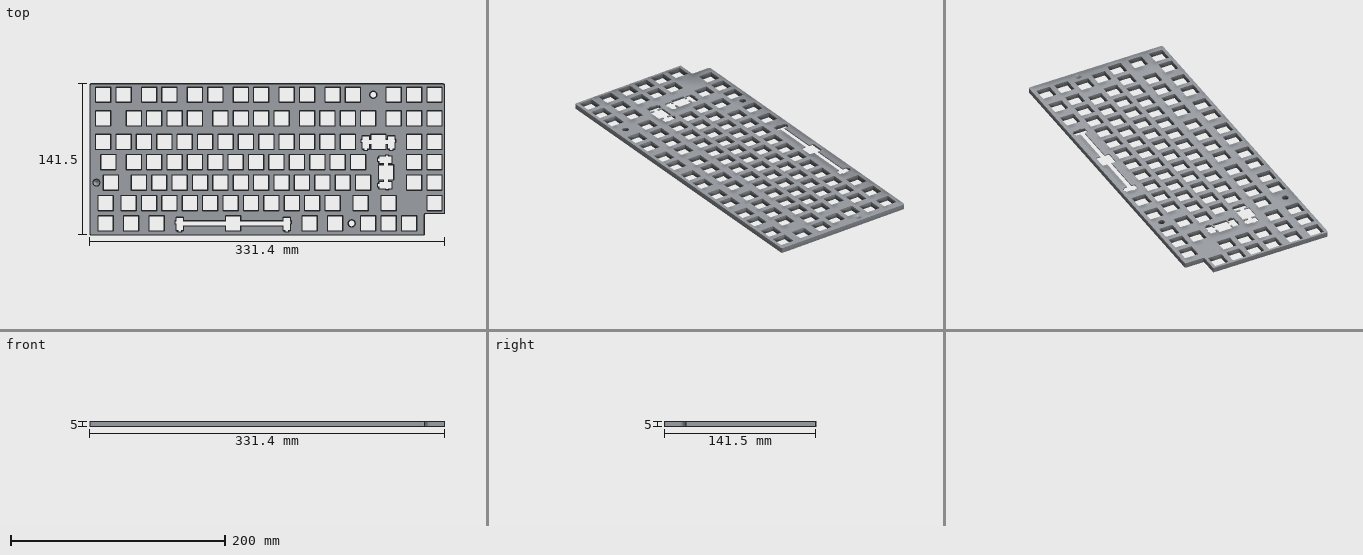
import cadquery as cq
plate_length = 331.42
plate_width = 141.5
plate_thickness = 5.0
corner_radius = 1.5

notch_length = 18.7
notch_width = 20.05
notch_inner_radius = 1.0

key_unit = 19.05
switch_opening = 14.0
first_key_from_left = 12.505
first_key_from_back = 10.31
function_row_pitch = 22.0

first_key_x = -plate_length / 2 + first_key_from_left
function_row_y = plate_width / 2 - first_key_from_back
number_row_y = function_row_y - 2 * function_row_pitch

short_stabilizer_reach = 11.9
space_stabilizer_reach = 50.0
stabilizer_bar_width = 4.5
stabilizer_half_width = 3.375
stabilizer_top = 5.53
stabilizer_bottom = -6.77
foot_half_width = 1.65
foot_bottom = -7.97
side_tab_reach = 4.2
side_tab_top = 2.3
side_tab_bottom = -0.5

mount_diameter = 6.4
dimple_from_left = 6.2
dimple_depth = 1.9


def column_x(units):
    """X of a key centre lying this many key units right of the first key."""
    return first_key_x + units * key_unit


def letter_row_y(rows):
    """Y of a key row lying this many key units in front of the number row."""
    return number_row_y - rows * key_unit


def key_run(start, count):
    """Columns of neighbouring keys, one key unit apart."""
    return [start + i for i in range(count)]


navigation_columns = key_run(15.25, 2)

key_rows = [
    (
        function_row_y,
        key_run(0, 2) + key_run(2.25, 2) + key_run(4.5, 2) + key_run(6.75, 2)
        + key_run(9, 2) + key_run(11.25, 2) + key_run(14.25, 3),
    ),
    (
        function_row_y - function_row_pitch,
        key_run(0, 1) + key_run(1.5, 4) + key_run(5.75, 4) + key_run(10, 4) + key_run(14.25, 3),
    ),
    (letter_row_y(0), key_run(0, 13) + navigation_columns),
    (letter_row_y(1), [0.25] + key_run(1.5, 12) + navigation_columns),
    (letter_row_y(2), [0.375] + key_run(1.75, 12) + navigation_columns),
    (letter_row_y(3), [0.125] + key_run(1.25, 11) + [12.625, 14, 16.25]),
    (letter_row_y(4), [0.125, 1.375, 2.625, 10.125, 11.375] + key_run(13, 3)),
]

stabilizer_skin = 1.05
relief_end_margin = 0.95
relief_top = 10.4
relief_bottom = -10.0


def cutter(sketch):
    """Prism from a closed outline, through the whole plate."""
    return sketch.extrude(plate_thickness)


def make_plate():
    """Plate with a notched front right corner; only the tip right of the notch stays sharp."""
    right = plate_length / 2
    back = plate_width / 2
    notch_x = right - notch_length
    notch_y = -back + notch_width
    plate = cutter(
        cq.Workplane("XY")
        .moveTo(-right, -back)
        .lineTo(notch_x, -back)
        .lineTo(notch_x, notch_y)
        .lineTo(right, notch_y)
        .lineTo(right, back)
        .lineTo(-right, back)
        .close()
    )
    rounded_corners = [
        (corner_radius, [(-right, -back), (-right, back), (right, back), (notch_x, -back)]),
        (notch_inner_radius, [(notch_x, notch_y)]),
    ]
    for radius, corners in rounded_corners:
        for x, y in corners:
            corner = cq.selectors.NearestToPointSelector((x, y, plate_thickness / 2))
            plate = plate.edges("|Z").edges(corner).fillet(radius)
    return plate


def switch_openings():
    """Square openings of all the keys without a stabilizer."""
    centres = [(column_x(column), y) for y, columns in key_rows for column in columns]
    return cutter(cq.Workplane("XY").pushPoints(centres).rect(switch_opening, switch_opening))


def stabilizer_housing(reach, side):
    """Opening of one stabilizer housing, on the given side (+1 or -1) of its switch."""
    outline = [
        (-stabilizer_half_width, stabilizer_top),
        (stabilizer_half_width, stabilizer_top),
        (stabilizer_half_width, side_tab_top),
        (side_tab_reach, side_tab_top),
        (side_tab_reach, side_tab_bottom),
        (stabilizer_half_width, side_tab_bottom),
        (stabilizer_half_width, stabilizer_bottom),
        (foot_half_width, stabilizer_bottom),
        (foot_half_width, foot_bottom),
        (-foot_half_width, foot_bottom),
        (-foot_half_width, stabilizer_bottom),
        (-stabilizer_half_width, stabilizer_bottom),
    ]
    points = [(side * (reach + x), y) for x, y in outline]
    return cutter(cq.Workplane("XY").polyline(points).close())


def stabilized_opening(reach):
    """Switch opening joined by a bar slot to a stabilizer housing on each side, with its relief."""
    opening = cutter(cq.Workplane("XY").rect(switch_opening, switch_opening))
    bar = cutter(cq.Workplane("XY").rect(2 * reach, stabilizer_bar_width))
    opening = opening.union(bar)
    for side in (-1, 1):
        opening = opening.union(stabilizer_housing(reach, side))
    return opening.union(relief_pocket(reach))


def relief_pocket(reach):
    """Pocket from below that leaves only a thin skin around a stabilized opening."""
    end = reach + side_tab_reach + relief_end_margin
    return (
        cq.Workplane("XY")
        .moveTo(-end, relief_bottom)
        .lineTo(end, relief_bottom)
        .lineTo(end, relief_top)
        .lineTo(-end, relief_top)
        .close()
        .extrude(plate_thickness - stabilizer_skin)
    )


def backspace_opening():
    """Opening of the two-unit backspace key at the end of the number row."""
    return stabilized_opening(short_stabilizer_reach).translate((column_x(13.5), letter_row_y(0), 0))


def enter_opening():
    """Upright opening of the two-row enter key, its feet pointing left."""
    upright = stabilized_opening(short_stabilizer_reach).rotate((0, 0, 0), (0, 0, 1), -90)
    return upright.translate((column_x(13.875), letter_row_y(1.5), 0))


def space_opening():
    """Opening of the long space bar in the front row."""
    return stabilized_opening(space_stabilizer_reach).translate((column_x(6.375), letter_row_y(4), 0))


def mounting_holes():
    """Two through holes, each midway between two neighbouring keys."""
    centres = [
        (column_x((12.25 + 14.25) / 2), function_row_y),
        (column_x((11.375 + 13) / 2), letter_row_y(4)),
    ]
    return cutter(cq.Workplane("XY").pushPoints(centres).circle(mount_diameter / 2))


def locating_dimple():
    """Conical dimple in the top face near the left edge."""
    centre = cq.Vector(-plate_length / 2 + dimple_from_left, letter_row_y(2), plate_thickness)
    down = cq.Vector(0, 0, -1)
    return cq.Workplane(cq.Solid.makeCone(mount_diameter / 2, 0, dimple_depth, centre, down))


result = make_plate()
for cut in (
    switch_openings(),
    backspace_opening(),
    enter_opening(),
    space_opening(),
    mounting_holes(),
    locating_dimple(),
):
    result = result.cut(cut)